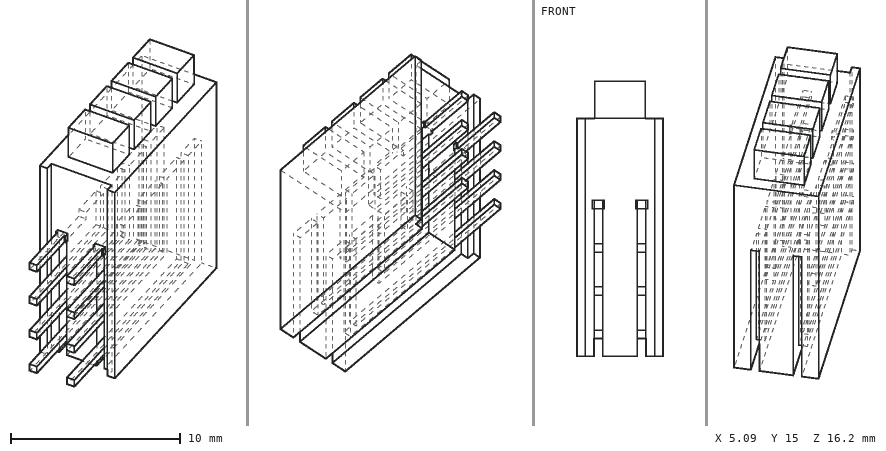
import cadquery as cq

housing_width = 5.09
housing_depth = 12.0
housing_height = 14.0
rail_width = 0.5
rail_depth = 0.5

led_count = 4
pitch = 2.55
led_width = 3.0
led_depth = 2.0
led_height = 16.2 - housing_height
first_led_y = pitch

lead_size = 0.5
lead_reach = 3.0
lowest_lead_z = 1.3
lead_columns = (-pitch / 2, pitch / 2)
top_lead_z = lowest_lead_z + (led_count - 1) * pitch

shoulder_width = 0.7
shoulder_reach = 0.25

slot_top = top_lead_z + lead_size / 2


def block(x_center, width, y_range, z_range):
    """Box centred on x_center, spanning the given Y and Z ranges."""
    y_min, y_max = y_range
    z_min, z_max = z_range
    return (
        cq.Workplane("XY", origin=(x_center, (y_min + y_max) / 2, z_min))
        .rect(width, y_max - y_min)
        .extrude(z_max - z_min)
    )


def make_housing():
    """Housing with a shallow channel between two front rails and a lead slot per column."""
    full_height = (0, housing_height)
    housing = block(0, housing_width, (0, housing_depth), full_height)
    housing = housing.cut(block(0, housing_width - 2 * rail_width, (0, rail_depth), full_height))
    for column_x in lead_columns:
        housing = housing.cut(block(column_x, lead_size, (rail_depth, housing_depth), (0, slot_top)))
    return housing


def make_lead(column_x, led_y, lead_z):
    """L-shaped lead: a bar running back to its LED, then a leg up to the slot ceiling."""
    bottom = lead_z - lead_size / 2
    top = lead_z + lead_size / 2
    leg_front = led_y - lead_size / 2
    leg_back = led_y + lead_size / 2
    bar = block(column_x, lead_size, (-lead_reach, leg_back), (bottom, top))
    leg = block(column_x, lead_size, (leg_front, leg_back), (bottom, slot_top))
    return bar.union(leg)


def make_shoulder(column_x):
    """Wide collar of a highest lead, running from its LED to just ahead of the channel floor."""
    return block(
        column_x,
        shoulder_width,
        (rail_depth - shoulder_reach, first_led_y),
        (top_lead_z - lead_size / 2, slot_top),
    )


result = make_housing()
for index in range(led_count):
    led_y = first_led_y + index * pitch
    lead_z = top_lead_z - index * pitch
    led = block(
        0,
        led_width,
        (led_y - led_depth / 2, led_y + led_depth / 2),
        (housing_height, housing_height + led_height),
    )
    result = result.union(led)
    for column_x in lead_columns:
        result = result.union(make_lead(column_x, led_y, lead_z))

for column_x in lead_columns:
    result = result.union(make_shoulder(column_x))